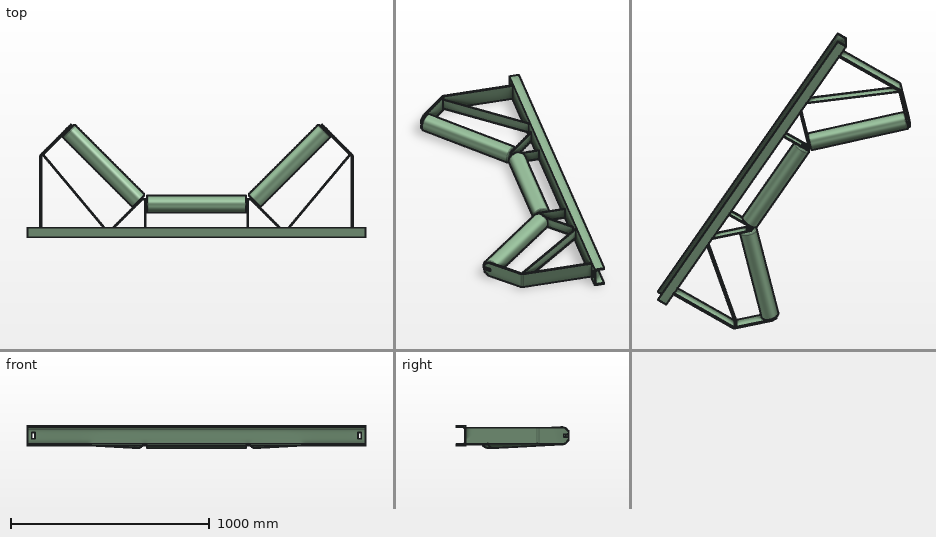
import cadquery as cq
import math

BEAM_LENGTH = 1700.0
BEAM_HEIGHT = 100.0
FLANGE_DEPTH = 50.0
WEB_THICKNESS = 6.0
FLANGE_THICKNESS = 8.0
ROOT_RADIUS = 8.0
FLANGE_TIP_RADIUS = 5.0
SLOT_INSET = 29.8
SLOT_WIDTH = 15.0
SLOT_HEIGHT = 30.0

OVERALL_HEIGHT = 114.0
ROLLER_LENGTH = 500.0
ROLLER_RADIUS = 45.0
ROLLER_EDGE_RADIUS = 5.0
SPINDLE_RADIUS = 8.0
CENTRE_GAP = 5.0
WING_GAP = 3.0
LOW_Z = BEAM_HEIGHT / 2 - OVERALL_HEIGHT + ROLLER_RADIUS
CENTRE_ROLLER_Y = 117.0
TROUGH_ANGLE = math.radians(45)
TILT_ANGLE = math.radians(2.2)
WING_FOOT_X = -290.0
WING_FOOT_Y = 135.0

OUTER_THICKNESS = 9.0
OUTER_HEIGHT = 80.0
OUTER_BEND_RADIUS = 14.5
OUTER_POST_X = -777.8
OUTER_TIP_Y = 517.8
TIP_CHAMFER_Z = 19.0
TIP_CHAMFER_LENGTH = 25.0
INNER_THICKNESS = 5.0
INNER_HEIGHT = 55.0
INNER_TOP_Y = 145.0
BRACE_THICKNESS = 4.2
BRACE_HEIGHT = 56.0
BRACE_FOOT_X = -462.0
BRACE_HEAD_OFFSET = 8.0

ALONG_X = cq.Vector(1, 0, 0)
ALONG_Y = cq.Vector(0, 1, 0)
ARM = cq.Vector(math.sin(TROUGH_ANGLE), math.cos(TROUGH_ANGLE), 0)
ARM_NORMAL = cq.Vector(-math.cos(TROUGH_ANGLE), math.sin(TROUGH_ANGLE), 0)
WING_AXIS = ARM_NORMAL * math.cos(TILT_ANGLE) + cq.Vector(0, 0, math.sin(TILT_ANGLE))
WING_FOOT = cq.Vector(WING_FOOT_X, WING_FOOT_Y, LOW_Z)
WING_HEAD = WING_FOOT + WING_AXIS * ROLLER_LENGTH
CENTRE_END = cq.Vector(-ROLLER_LENGTH / 2, CENTRE_ROLLER_Y, LOW_Z)

OUTER_ARM_POINT = WING_HEAD + ARM_NORMAL * WING_GAP
OUTER_BEND_Y = OUTER_ARM_POINT.y - (OUTER_ARM_POINT.x - OUTER_POST_X) / math.tan(TROUGH_ANGLE)


def upright_strip(path, thickness, height, mid_z):
    """Bent plate standing on the web: its right-hand face follows the path, its bends are mitred."""
    directions = []
    for (x0, y0), (x1, y1) in zip(path, path[1:]):
        length = math.hypot(x1 - x0, y1 - y0)
        directions.append(((x1 - x0) / length, (y1 - y0) / length))
    far_face = []
    for (x, y), (ax, ay), (bx, by) in zip(path, directions[:1] + directions, directions + directions[-1:]):
        mitre = thickness / (1 + ax * bx + ay * by)
        far_face.append((x - (ay + by) * mitre, y + (ax + bx) * mitre))
    outline = path + far_face[::-1]
    strip = cq.Workplane("XY").polyline(outline).close().extrude(height / 2, both=True)
    in_front_of_web = cq.Workplane("XY").box(BEAM_LENGTH, FLANGE_DEPTH, BEAM_HEIGHT)
    strip = strip.cut(in_front_of_web.translate((0, -FLANGE_DEPTH / 2, 0)))
    return strip.translate((0, 0, mid_z))


def spindle_slot(roller_end, outward, opening, depth):
    """Cutter for a round-bottomed slot around a spindle, open toward `opening`."""
    plane = cq.Plane(origin=roller_end, xDir=opening, normal=outward)
    reach = 2 * ROLLER_RADIUS
    seat = cq.Workplane(plane).circle(SPINDLE_RADIUS).extrude(depth)
    mouth = cq.Workplane(plane).center(reach / 2, 0).rect(reach, 2 * SPINDLE_RADIUS).extrude(depth)
    return seat.union(mouth)


def channel_beam():
    half = BEAM_HEIGHT / 2
    flange_inside = half - FLANGE_THICKNESS
    section = [
        (0, -half),
        (-FLANGE_DEPTH, -half),
        (-FLANGE_DEPTH, -flange_inside),
        (-WEB_THICKNESS, -flange_inside),
        (-WEB_THICKNESS, flange_inside),
        (-FLANGE_DEPTH, flange_inside),
        (-FLANGE_DEPTH, half),
        (0, half),
    ]
    beam = cq.Workplane("YZ").polyline(section).close().extrude(BEAM_LENGTH / 2, both=True)
    for z in (-flange_inside, flange_inside):
        for y, radius in ((-WEB_THICKNESS, ROOT_RADIUS), (-FLANGE_DEPTH, FLANGE_TIP_RADIUS)):
            beam = beam.edges(cq.selectors.NearestToPointSelector((0, y, z))).fillet(radius)
    slot_x = BEAM_LENGTH / 2 - SLOT_INSET
    slots = (
        cq.Workplane("XZ")
        .pushPoints([(-slot_x, 0), (slot_x, 0)])
        .rect(SLOT_WIDTH, SLOT_HEIGHT)
        .extrude(WEB_THICKNESS)
    )
    return beam.cut(slots)


def roller(start, axis, start_overhang, end_overhang):
    """Round-edged roller on a spindle that reaches past both ends by the given overhangs."""
    shell = cq.Workplane(cq.Plane(origin=start, normal=axis)).circle(ROLLER_RADIUS).extrude(ROLLER_LENGTH)
    shell = shell.edges().fillet(ROLLER_EDGE_RADIUS)
    spindle_plane = cq.Plane(origin=start - axis * start_overhang, normal=axis)
    spindle_length = start_overhang + ROLLER_LENGTH + end_overhang
    return shell.union(cq.Workplane(spindle_plane).circle(SPINDLE_RADIUS).extrude(spindle_length))


def centre_roller():
    overhang = CENTRE_GAP + INNER_THICKNESS
    return roller(CENTRE_END, ALONG_X, overhang, overhang)


def left_wing_roller():
    return roller(WING_FOOT, WING_AXIS, WING_GAP + INNER_THICKNESS, WING_GAP + OUTER_THICKNESS)


def left_outer_bracket():
    """Post bent inward into an arm whose slotted tip carries the high end of the wing roller."""
    tip_y = OUTER_TIP_Y - OUTER_THICKNESS * ARM_NORMAL.y
    tip_x = OUTER_POST_X + (tip_y - OUTER_BEND_Y) * math.tan(TROUGH_ANGLE)
    path = [(OUTER_POST_X, 0), (OUTER_POST_X, OUTER_BEND_Y), (tip_x, tip_y)]
    bracket = upright_strip(path, OUTER_THICKNESS, OUTER_HEIGHT, 0)

    bend_rise = OUTER_THICKNESS * math.tan(TROUGH_ANGLE / 2)
    bend_edge = (OUTER_POST_X - OUTER_THICKNESS, OUTER_BEND_Y + bend_rise, 0)
    bracket = bracket.edges(cq.selectors.NearestToPointSelector(bend_edge)).fillet(OUTER_BEND_RADIUS)

    tip_plane = cq.Plane(origin=(tip_x, tip_y, 0), xDir=ARM, normal=ARM_NORMAL)
    half = OUTER_HEIGHT / 2
    for up in (-1, 1):
        triangle = [(-TIP_CHAMFER_LENGTH, up * half), (0, up * half), (0, up * (half - TIP_CHAMFER_Z))]
        bracket = bracket.cut(cq.Workplane(tip_plane).polyline(triangle).close().extrude(OUTER_THICKNESS))

    return bracket.cut(spindle_slot(WING_HEAD, WING_AXIS, ARM, 2 * (WING_GAP + OUTER_THICKNESS)))


def left_inner_bracket():
    """Plate folded over the top: its post carries the centre roller, its arm the wing roller."""
    arm_point = WING_FOOT - ARM_NORMAL * WING_GAP
    post_x = CENTRE_END.x - CENTRE_GAP
    fold_x = arm_point.x + (INNER_TOP_Y - arm_point.y) * math.tan(TROUGH_ANGLE)
    foot_x = arm_point.x - arm_point.y * math.tan(TROUGH_ANGLE)
    path = [(post_x, 0), (post_x, INNER_TOP_Y), (fold_x, INNER_TOP_Y), (foot_x, 0)]
    bracket = upright_strip(path, INNER_THICKNESS, INNER_HEIGHT, LOW_Z)
    bracket = bracket.cut(spindle_slot(WING_FOOT, -WING_AXIS, ARM, WING_GAP + 2 * INNER_THICKNESS))
    return bracket.cut(spindle_slot(CENTRE_END, -ALONG_X, ALONG_Y, CENTRE_GAP + 2 * INNER_THICKNESS))


def left_brace():
    """Thin diagonal strip from the web to the inside of the outer bracket's bend."""
    head = (OUTER_POST_X + BRACE_HEAD_OFFSET, OUTER_BEND_Y + BRACE_HEAD_OFFSET)
    strip = upright_strip([(BRACE_FOOT_X, 0), head], BRACE_THICKNESS, BRACE_HEIGHT, 0)
    return strip.cut(left_outer_bracket())


bodies = [channel_beam().val(), centre_roller().val()]
for make_left in (left_wing_roller, left_outer_bracket, left_inner_bracket, left_brace):
    left_body = make_left()
    for body in (left_body, left_body.mirror("YZ")):
        bodies.append(body.val())

result = cq.Compound.makeCompound(bodies)